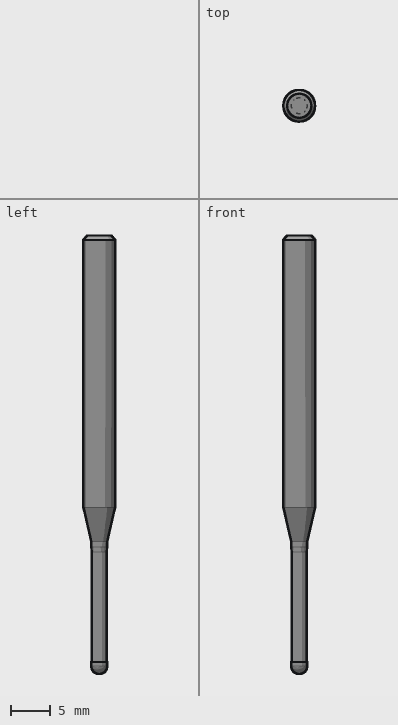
import cadquery as cq
import math

shank_diameter = 4.0
shank_radius = shank_diameter / 2
top_chamfer_width = 0.5
top_chamfer_height = 0.55
ball_diameter = 2.05
ball_radius = ball_diameter / 2
neck_diameter = 1.9
neck_radius = neck_diameter / 2
collar_radius = ball_radius

head_top = 1.55
neck_top = 15.3
collar_bottom = 15.95
collar_top = 16.6
shank_bottom = 20.9
overall_length = 55.0


def make_cutting_head():
    """Hemispherical tip with a short cylindrical band above it."""
    arc_reach = ball_radius * math.sin(math.pi / 4)
    return (
        cq.Workplane("XZ")
        .moveTo(0, 0)
        .threePointArc((arc_reach, ball_radius - arc_reach), (ball_radius, ball_radius))
        .lineTo(ball_radius, head_top)
        .lineTo(0, head_top)
        .close()
        .revolve(360, (0, 0), (0, 1))
    )


def make_shank():
    """Slim neck, flare, collar, cone and chamfered shank, revolved as one body."""
    profile = [
        (0, head_top),
        (neck_radius, head_top),
        (neck_radius, neck_top),
        (collar_radius, collar_bottom),
        (collar_radius, collar_top),
        (shank_radius, shank_bottom),
        (shank_radius, overall_length - top_chamfer_height),
        (shank_radius - top_chamfer_width, overall_length),
        (0, overall_length),
    ]
    return cq.Workplane("XZ").polyline(profile).close().revolve(360, (0, 0), (0, 1))


cutting_head = make_cutting_head()
shank = make_shank()

result = cq.Compound.makeCompound([cutting_head.val(), shank.val()])